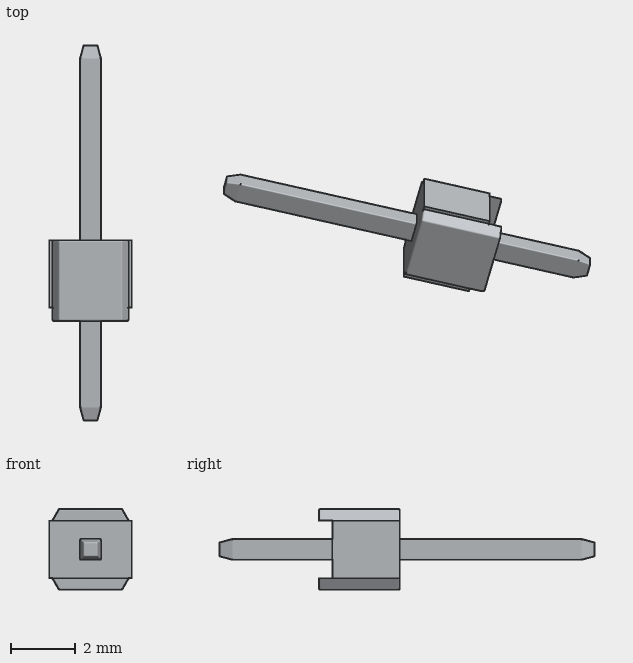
import cadquery as cq

pin_length = 11.55
pin_rear_reach = 6.0
pin_width = 0.65
pin_edge_radius = 0.04
taper_length = 0.4
tip_width = 0.43

block_width = 2.55
block_length = 2.08
block_height = 1.77

overall_height = 2.5
ledge_length = 2.5
ledge_base_width = 2.36
ledge_outer_width = 1.94
ledge_edge_radius = 0.06

ledge_height = (overall_height - block_height) / 2
pin_rear_y = pin_rear_reach
pin_front_y = pin_rear_y - pin_length


def tapered_end(base_y, direction):
    """Tapered end of the pin; direction is +1 toward the rear, -1 toward the front."""
    base_plane = cq.Plane(origin=(0, base_y, 0), xDir=(1, 0, 0), normal=(0, direction, 0))
    return (
        cq.Workplane(base_plane)
        .rect(pin_width, pin_width)
        .workplane(offset=taper_length)
        .rect(tip_width, tip_width)
        .loft(ruled=True)
    )


def make_pin():
    """Square bar along Y with both ends tapered and the edges rounded."""
    shank_rear_y = pin_rear_y - taper_length
    shank_front_y = pin_front_y + taper_length
    shank = (
        cq.Workplane("XZ", origin=(0, shank_rear_y, 0))
        .rect(pin_width, pin_width)
        .extrude(shank_rear_y - shank_front_y)
    )
    blank = shank.union(tapered_end(shank_rear_y, 1)).union(tapered_end(shank_front_y, -1))
    return blank.edges("(not #Y) or <Y or >Y").fillet(pin_edge_radius)


def make_ledge():
    """Upper ledge: a trapezoid along Y with every edge rounded except those at its base."""
    base_z = block_height / 2
    top_z = base_z + ledge_height
    ledge = (
        cq.Workplane("XZ")
        .polyline([
            (-ledge_base_width / 2, base_z),
            (ledge_base_width / 2, base_z),
            (ledge_outer_width / 2, top_z),
            (-ledge_outer_width / 2, top_z),
        ])
        .close()
        .extrude(ledge_length)
    )
    return ledge.faces("not <Z").edges("not <Z").fillet(ledge_edge_radius)


def make_housing(pin):
    """Block with both ledges, cut through by a hole that fits the pin exactly."""
    block = cq.Workplane("XZ").rect(block_width, block_height).extrude(block_length)
    upper_ledge = make_ledge()
    lower_ledge = upper_ledge.mirror("XY")
    return block.union(upper_ledge).union(lower_ledge).cut(pin)


pin = make_pin()
housing = make_housing(pin)

result = cq.Compound.makeCompound([housing.val(), pin.val()])